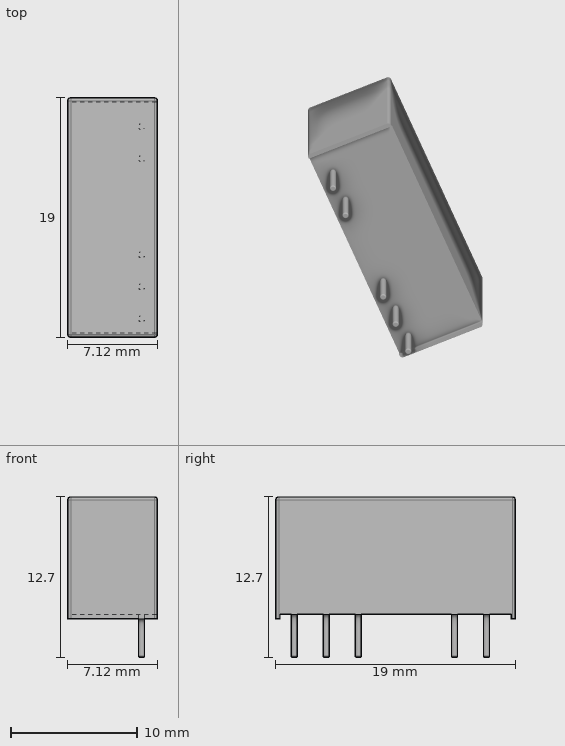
import cadquery as cq

body_width = 7.12
body_length = 19.0
total_height = 12.71
pin_length = 3.05
body_height = total_height - pin_length

edge_radius = 0.25

foot_height = 0.35
foot_thickness = 0.35

pin_diameter = 0.5
pin_tip_round = 0.1
pin_row_x = 2.3
pin_pitch = 2.54
first_pin_y = -8.03
pin_positions = [0, 1, 2, 5, 6]
pin_embed = 1.0


def make_body():
    """Block standing on Z = 0, rounded on its upright and top edges."""
    body = cq.Workplane("XY").box(
        body_width, body_length, body_height, centered=(True, True, False)
    )
    body = body.edges("|Z or >Z").fillet(edge_radius)
    recess = cq.Workplane("XY").box(
        body_width,
        body_length - 2 * foot_thickness,
        foot_height,
        centered=(True, True, False),
    )
    return body.cut(recess)


def make_pin(y):
    """Round pin with a softened tip, reaching up into the body."""
    pin = (
        cq.Workplane("XY", origin=(pin_row_x, y, -pin_length))
        .circle(pin_diameter / 2)
        .extrude(pin_length + foot_height + pin_embed)
    )
    return pin.faces("<Z").edges().fillet(pin_tip_round)


result = make_body()
for position in pin_positions:
    result = result.union(make_pin(first_pin_y + position * pin_pitch))